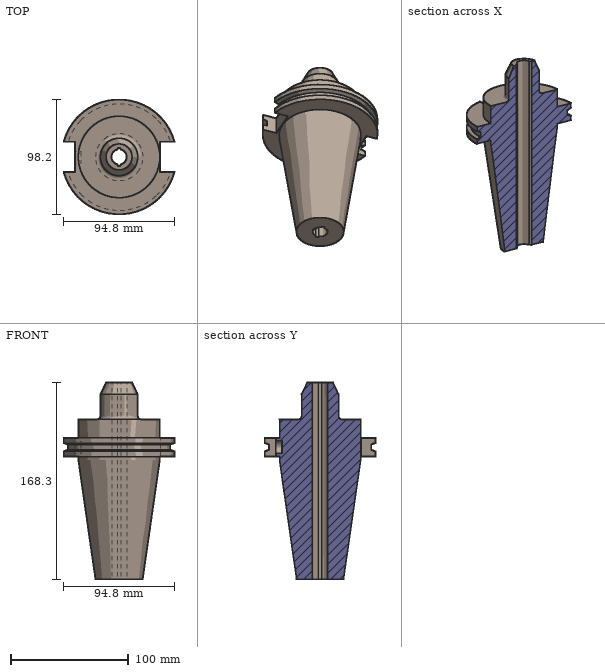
import cadquery as cq
import math

total_height = 168.3
tip_cone_height = 10.3
shoulder_z = 136.8
flange_top_z = 121.0
flange_bottom_z = 105.0
taper_top_z = 101.8

taper_small_radius = 20.2
body_radius = 34.8
flange_radius = 49.1
neck_radius = 16.0
tip_radius = 11.1
neck_fillet = 3.0

groove_floor_radius = 45.6
groove_mouth_width = 7.0
groove_floor_width = 4.4

drive_slot_width = 25.7
near_slot_floor_x = -37.7
far_slot_floor_x = 35.2
side_hole_diameter = 10.1
side_hole_depth = 5.0

bore_radius = 6.4
bore_groove_width = 2.7
bore_groove_reach = 7.7

flange_height = flange_top_z - flange_bottom_z
flange_middle_z = (flange_top_z + flange_bottom_z) / 2


def turned_body():
    """Taper, flange, shoulder and filleted neck as one revolved profile."""
    return (
        cq.Workplane("XZ")
        .lineTo(taper_small_radius, 0)
        .lineTo(body_radius, taper_top_z)
        .lineTo(body_radius, flange_bottom_z)
        .lineTo(flange_radius, flange_bottom_z)
        .lineTo(flange_radius, flange_middle_z - groove_mouth_width / 2)
        .lineTo(groove_floor_radius, flange_middle_z - groove_floor_width / 2)
        .lineTo(groove_floor_radius, flange_middle_z + groove_floor_width / 2)
        .lineTo(flange_radius, flange_middle_z + groove_mouth_width / 2)
        .lineTo(flange_radius, flange_top_z)
        .lineTo(body_radius, flange_top_z)
        .lineTo(body_radius, shoulder_z)
        .lineTo(neck_radius + neck_fillet, shoulder_z)
        .radiusArc((neck_radius, shoulder_z + neck_fillet), neck_fillet)
        .lineTo(neck_radius, total_height - tip_cone_height)
        .lineTo(tip_radius, total_height)
        .lineTo(0, total_height)
        .close()
        .revolve(360, (0, 0, 0), (0, 1, 0))
    )


def drive_slot(floor_x):
    """Cutter for a flange slot, from its flat floor out to the rim."""
    rim_x = math.copysign(flange_radius, floor_x)
    depth = abs(rim_x - floor_x)
    middle_x = (rim_x + floor_x) / 2
    return (
        cq.Workplane("XY")
        .box(depth, drive_slot_width, flange_height)
        .translate((middle_x, 0, flange_middle_z))
    )


def side_hole():
    """Cutter for the blind hole running inward from the -X slot floor."""
    return (
        cq.Workplane("YZ", origin=(near_slot_floor_x, 0, flange_middle_z))
        .circle(side_hole_diameter / 2)
        .extrude(side_hole_depth)
    )


def grooved_bore():
    """Cutter for the through bore and its grooves at +Y and -Y."""
    grooves = (
        cq.Workplane("XY")
        .slot2D(2 * bore_groove_reach, bore_groove_width, 90)
        .extrude(total_height)
    )
    return cq.Workplane("XY").circle(bore_radius).extrude(total_height).union(grooves)


result = turned_body()
for floor_x in (near_slot_floor_x, far_slot_floor_x):
    result = result.cut(drive_slot(floor_x))
result = result.cut(side_hole()).cut(grooved_bore())